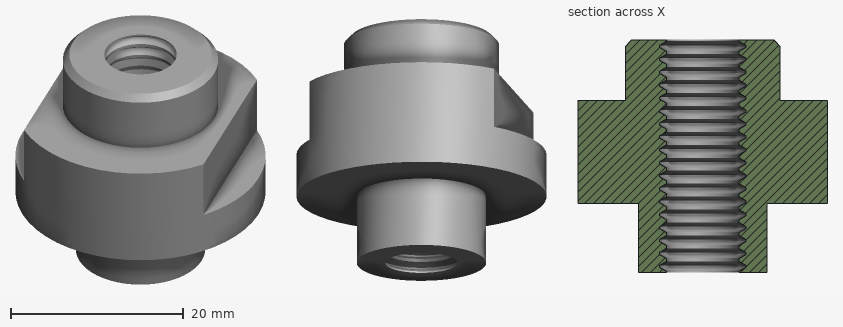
import cadquery as cq

flange_diameter = 29.0
total_height = 27.0

spigot_diameter = 15.0
spigot_height = 8.0
flange_top = 20.0
hub_diameter = 18.0
hub_chamfer = 0.75

flats_width = 22.0
flats_bottom = 13.0

thread_minor_radius = 8.38 / 2
thread_major_radius = 10.0 / 2
thread_count = 18
thread_pitch = total_height / thread_count
crest_width = thread_pitch / 4
root_width = thread_pitch / 8


def make_body():
    """Spigot, flange and chamfered hub as one coaxial solid standing on Z = 0."""
    spigot = cq.Workplane("XY").circle(spigot_diameter / 2).extrude(spigot_height)
    flange = (
        cq.Workplane("XY", origin=(0, 0, spigot_height))
        .circle(flange_diameter / 2)
        .extrude(flange_top - spigot_height)
    )
    hub = (
        cq.Workplane("XY", origin=(0, 0, flange_top))
        .circle(hub_diameter / 2)
        .extrude(total_height - flange_top)
        .faces(">Z")
        .chamfer(hub_chamfer)
    )
    return spigot.union(flange).union(hub)


def make_flat_cutter(side):
    """Block outside the wrench flat on one side (-1 or +1 along X)."""
    cut_depth = (flange_diameter - flats_width) / 2
    return cq.Workplane("XY").box(
        cut_depth, flange_diameter, flange_top - flats_bottom, centered=(True, True, False)
    ).translate((side * (flats_width + cut_depth) / 2, 0, flats_bottom))


def make_thread_cutter():
    """Revolved bore with one trapezoidal groove per pitch, half a crest at each end."""
    profile = cq.Workplane("XZ").lineTo(thread_minor_radius, 0)
    for index in range(thread_count):
        groove_bottom = index * thread_pitch + crest_width / 2
        groove_top = (index + 1) * thread_pitch - crest_width / 2
        groove_middle = (index + 0.5) * thread_pitch
        profile = (
            profile.lineTo(thread_minor_radius, groove_bottom)
            .lineTo(thread_major_radius, groove_middle - root_width / 2)
            .lineTo(thread_major_radius, groove_middle + root_width / 2)
            .lineTo(thread_minor_radius, groove_top)
        )
    profile = profile.lineTo(thread_minor_radius, total_height).lineTo(0, total_height)
    return profile.close().revolve(360, (0, 0, 0), (0, 1, 0))


result = make_body()
for side in (-1, 1):
    result = result.cut(make_flat_cutter(side))
result = result.cut(make_thread_cutter())